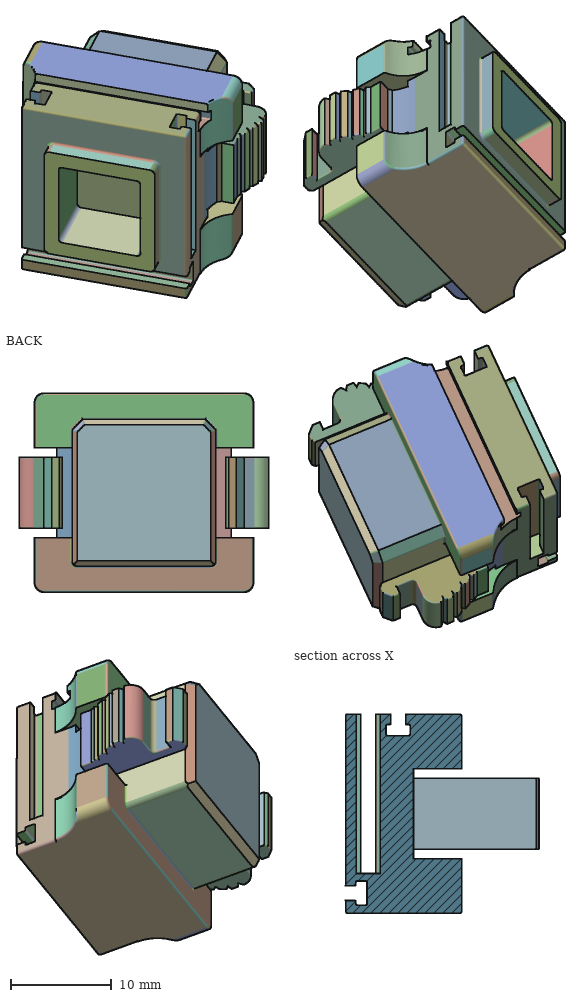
import cadquery as cq
import math

HEIGHT = 19.8
LENGTH = 20.75
WIDTH = 24.8
HALF_HEIGHT = HEIGHT / 2
HALF_WIDTH = WIDTH / 2

MARGIN = 0.02

BLOCK_FRONT = 1.55
BLOCK_REAR = 5.98
BODY_REAR = 13.1
BLOCK_HALF = 8.6
FLARE_START_HALF = 8.65
FLARE_HALF = 10.89
FLARE_END = 9.55
CORNER_RADIUS = 1.0
EDGE_RADIUS = 0.22
RIM_RADIUS = 0.2

NOSE_WIDTH = 11.5
NOSE_HEIGHT = 12.35
NOSE_CORNER = 0.55
NOSE_BASE_FILLET = 0.22
BORE_WIDTH = 8.48
BORE_HEIGHT = 9.13
BORE_CORNER = 0.4
BORE_DEPTH = 6.32

PLUG_HALF_WIDTH = 7.15
PLUG_HALF_HEIGHT = 7.3
PLUG_TOP_CHAMFER = 1.05
PLUG_TOP_BLEND = 0.25
PLUG_BOTTOM_RADIUS = 0.5
PLUG_TIP_LENGTH = 0.87
PLUG_TIP_INSET = 0.52
PLUG_BASE_FILLET = 0.17

SLOT_MOUTH = 1.46
SLOT_WIDTH = 2.38
SLOT_LIP = 1.05
SLOT_DEPTH = 2.13
SLOT_ROUND = 0.12
TOP_SLOT_Y = 6.77
SIDE_SLOT_Y = 3.8
SIDE_SLOT_BOTTOM = 3.97 - HALF_HEIGHT
FRONT_SLOT_Z = 2.0 - HALF_HEIGHT

WINDOW_HALF_HEIGHT = 4.46
WINDOW_FLOOR = 8.3
LATCH_HALF_HEIGHT = 3.55
LATCH_INNER = 8.13
LATCH_ROOT_Y = 7.46
LATCH_FOOT = (9.18, 9.85)
LATCH_EDGE = 0.12
HOOK_NECK = 9.1
HOOK_OUTER = 9.95
HOOK_BARB_Y = 19.2
HOOK_CHAMFER = 0.77
TIP_CHAMFER = 0.27
HOOK_NECK_FILLET = 0.42
GRIP_TOP = 17.24
GRIP_CROWN_RADIUS = 1.41

GRIP_STEPS = [
    (12.0, 15.48),
    (HALF_WIDTH, 15.2),
    (HALF_WIDTH, 14.48),
    (11.9, 14.33),
    (12.18, 14.0),
    (11.83, 13.4),
    (11.38, 13.22),
    (11.63, 12.9),
    (11.33, 12.28),
    (10.94, 12.1),
    (11.1, 11.73),
    (10.85, 11.28),
]
GRIP_FOOT_X = 9.6
GRIP_FOOT_Y = 10.1


def arc_middle(start, end, center):
    """Point halfway along the shorter arc from start to end about center."""
    radius = math.dist(start, center)
    across = (start[0] + end[0]) / 2 - center[0]
    along = (start[1] + end[1]) / 2 - center[1]
    scale = radius / math.hypot(across, along)
    return (center[0] + across * scale, center[1] + along * scale)


def tangent_arc_radius(side, rise):
    """Radius of an arc that leaves along Y and drifts sideways over the given rise."""
    return (side**2 + rise**2) / (2 * side)


def box(x_range, y_range, z_range):
    """Box between the given limits."""
    size = [high - low for low, high in (x_range, y_range, z_range)]
    corner = (x_range[0], y_range[0], z_range[0])
    return cq.Workplane("XY").box(*size, centered=False).translate(corner)


def rear_facing_plane(y):
    """Workplane at y facing +Y, with local x along -X and local y along Z."""
    return cq.Workplane(cq.Plane((0, y, 0), (-1, 0, 0), (0, 1, 0)))


def make_block():
    """Narrow front block with rounded front and lengthwise edges."""
    length = BLOCK_REAR - BLOCK_FRONT
    block = rear_facing_plane(BLOCK_FRONT).rect(2 * BLOCK_HALF, HEIGHT).extrude(length)
    return block.edges("|Y or <Y").fillet(EDGE_RADIUS)


def make_flare():
    """Rear block whose sides sweep out from the front block along concave arcs."""
    radius = tangent_arc_radius(FLARE_HALF - FLARE_START_HALF, FLARE_END - BLOCK_REAR)
    start = (FLARE_START_HALF, BLOCK_REAR)
    end = (FLARE_HALF, FLARE_END)
    middle = arc_middle(start, end, (FLARE_START_HALF + radius, BLOCK_REAR))
    flare = (
        cq.Workplane("XY", origin=(0, 0, -HALF_HEIGHT))
        .moveTo(-start[0], start[1])
        .lineTo(*start)
        .threePointArc(middle, end)
        .lineTo(FLARE_HALF, BODY_REAR)
        .lineTo(-FLARE_HALF, BODY_REAR)
        .lineTo(-end[0], end[1])
        .threePointArc((-middle[0], middle[1]), (-start[0], start[1]))
        .close()
        .extrude(HEIGHT)
    )
    flare = flare.edges("|Y").fillet(CORNER_RADIUS)
    flare = flare.faces(">Y").edges().fillet(RIM_RADIUS)
    swept_rims = cq.selectors.BoxSelector(
        (-HALF_WIDTH, BLOCK_REAR + MARGIN, -HEIGHT), (HALF_WIDTH, FLARE_END + MARGIN, HEIGHT)
    )
    return flare.edges(swept_rims).fillet(RIM_RADIUS)


def plug_section(y, inset):
    """Plug outline at the given Y, moved inwards all round, with chamfered top corners."""
    half_width = PLUG_HALF_WIDTH - inset
    half_height = PLUG_HALF_HEIGHT - inset
    chamfer = PLUG_TOP_CHAMFER - inset * (2 - math.sqrt(2))
    return cq.Wire.makePolygon(
        [
            cq.Vector(-half_width, y, -half_height),
            cq.Vector(half_width, y, -half_height),
            cq.Vector(half_width, y, half_height - chamfer),
            cq.Vector(half_width - chamfer, y, half_height),
            cq.Vector(-half_width + chamfer, y, half_height),
            cq.Vector(-half_width, y, half_height - chamfer),
        ],
        close=True,
    )


def make_plug():
    """Rear plug: chamfered top corners, rounded bottom corners, tapered tip."""
    tip_sections = [
        plug_section(LENGTH - PLUG_TIP_LENGTH, 0),
        plug_section(LENGTH, PLUG_TIP_INSET),
    ]
    shank_length = LENGTH - PLUG_TIP_LENGTH - BODY_REAR
    shank = cq.Solid.extrudeLinear(plug_section(BODY_REAR, 0), [], cq.Vector(0, shank_length, 0))
    tip = cq.Solid.makeLoft(tip_sections, True)
    plug = cq.Workplane(shank).union(cq.Workplane(tip))
    upper_part = cq.selectors.BoxSelector(
        (-HALF_WIDTH, BODY_REAR, PLUG_HALF_HEIGHT / 2), (HALF_WIDTH, LENGTH, PLUG_HALF_HEIGHT)
    )
    plug = plug.edges("not #Y").edges(upper_part).fillet(PLUG_TOP_BLEND)
    return plug.edges("(not #Y) and <Z").fillet(PLUG_BOTTOM_RADIUS)


def make_nose():
    """Rounded rectangular nose in front of the block."""
    nose = rear_facing_plane(0).rect(NOSE_WIDTH, NOSE_HEIGHT).extrude(BLOCK_FRONT)
    return nose.edges("|Y").fillet(NOSE_CORNER)


def make_bore():
    """Blind bore entering the nose."""
    bore = rear_facing_plane(0).rect(BORE_WIDTH, BORE_HEIGHT).extrude(BORE_DEPTH)
    return bore.edges("|Y").fillet(BORE_CORNER)


def joint_edges(y):
    """Selector for the edges where the nose or plug meets the body face at y."""
    return cq.selectors.BoxSelector(
        (-PLUG_HALF_WIDTH - MARGIN, y - MARGIN, -PLUG_HALF_HEIGHT - MARGIN),
        (PLUG_HALF_WIDTH + MARGIN, y + MARGIN, PLUG_HALF_HEIGHT + MARGIN),
    )


def make_body():
    """Block, flare, plug and nose joined, with fillets at both joints and the bore cut."""
    body = make_block().union(make_flare()).union(make_plug()).union(make_nose())
    body = body.edges(joint_edges(BODY_REAR)).fillet(PLUG_BASE_FILLET)
    body = body.edges(joint_edges(BLOCK_FRONT)).fillet(NOSE_BASE_FILLET)
    return body.cut(make_bore())


def t_slot(origin, along, inward, length):
    """T-slot cutter that opens at origin, deepens inward and runs along for length."""
    slot = (
        cq.Workplane(cq.Plane(origin, inward, along))
        .moveTo(-SLOT_LIP, -SLOT_MOUTH / 2)
        .lineTo(SLOT_LIP, -SLOT_MOUTH / 2)
        .lineTo(SLOT_LIP, -SLOT_WIDTH / 2)
        .lineTo(SLOT_DEPTH, -SLOT_WIDTH / 2)
        .lineTo(SLOT_DEPTH, SLOT_WIDTH / 2)
        .lineTo(SLOT_LIP, SLOT_WIDTH / 2)
        .lineTo(SLOT_LIP, SLOT_MOUTH / 2)
        .lineTo(-SLOT_LIP, SLOT_MOUTH / 2)
        .close()
        .extrude(length)
    )
    return slot.edges(cq.selectors.ParallelDirSelector(cq.Vector(*along))).fillet(SLOT_ROUND)


def cut_slots(body):
    """Slots across the top and the front face, and one down each side of the block."""
    body = body.cut(t_slot((-HALF_WIDTH, TOP_SLOT_Y, HALF_HEIGHT), (1, 0, 0), (0, 0, -1), WIDTH))
    body = body.cut(t_slot((-HALF_WIDTH, BLOCK_FRONT, FRONT_SLOT_Z), (1, 0, 0), (0, 1, 0), WIDTH))
    for side in (-1, 1):
        bottom = (side * BLOCK_HALF, SIDE_SLOT_Y, SIDE_SLOT_BOTTOM)
        body = body.cut(t_slot(bottom, (0, 0, 1), (-side, 0, 0), HEIGHT))
    return body


def cut_windows(body):
    """Clear the flare beside each latch down to the plug sides."""
    heights = (-WINDOW_HALF_HEIGHT, WINDOW_HALF_HEIGHT)
    deep = box((PLUG_HALF_WIDTH, HALF_WIDTH), (WINDOW_FLOOR, LENGTH), heights)
    shallow = box((BLOCK_HALF, HALF_WIDTH), (BLOCK_REAR - MARGIN, WINDOW_FLOOR), heights)
    window = deep.union(shallow)
    return body.cut(window).cut(window.mirror("YZ"))


def latch_root_arc():
    """Start, middle and end of the concave arc from the block side to the latch foot."""
    radius = tangent_arc_radius(LATCH_FOOT[0] - BLOCK_HALF, LATCH_FOOT[1] - LATCH_ROOT_Y)
    start = (BLOCK_HALF, LATCH_ROOT_Y)
    center = (BLOCK_HALF + radius, LATCH_ROOT_Y)
    return start, arc_middle(start, LATCH_FOOT, center), LATCH_FOOT


def make_latch():
    """Latch arm on the +X side: hooked tip, ribbed grip and curved root."""
    root_start, root_middle, root_end = latch_root_arc()
    crown_center = (HALF_WIDTH - GRIP_CROWN_RADIUS, GRIP_TOP - GRIP_CROWN_RADIUS)
    crown_start = (crown_center[0], GRIP_TOP)
    crown_end = (HALF_WIDTH, crown_center[1])
    latch = (
        cq.Workplane("XY", origin=(0, 0, -LATCH_HALF_HEIGHT))
        .moveTo(*root_start)
        .threePointArc(root_middle, root_end)
        .lineTo(GRIP_FOOT_X, GRIP_FOOT_Y)
        .lineTo(GRIP_STEPS[-1][0], GRIP_FOOT_Y)
    )
    for step in reversed(GRIP_STEPS):
        latch = latch.lineTo(*step)
    latch = (
        latch.lineTo(*crown_end)
        .threePointArc(arc_middle(crown_end, crown_start, crown_center), crown_start)
        .lineTo(HOOK_NECK, GRIP_TOP)
        .lineTo(HOOK_NECK, HOOK_BARB_Y)
        .lineTo(HOOK_OUTER, HOOK_BARB_Y)
        .lineTo(HOOK_OUTER, LENGTH - HOOK_CHAMFER)
        .lineTo(HOOK_OUTER - HOOK_CHAMFER, LENGTH)
        .lineTo(LATCH_INNER + TIP_CHAMFER, LENGTH)
        .lineTo(LATCH_INNER, LENGTH - TIP_CHAMFER)
        .lineTo(LATCH_INNER, LATCH_ROOT_Y)
        .close()
        .extrude(2 * LATCH_HALF_HEIGHT)
    )
    neck = cq.selectors.BoxSelector(
        (HOOK_NECK - MARGIN, GRIP_TOP - MARGIN, -HEIGHT), (HOOK_NECK + MARGIN, GRIP_TOP + MARGIN, HEIGHT)
    )
    latch = latch.edges(neck).fillet(HOOK_NECK_FILLET)
    outer_rims = cq.selectors.BoxSelector(
        (LATCH_INNER + MARGIN, GRIP_FOOT_Y + MARGIN, -HEIGHT), (WIDTH, LENGTH + MARGIN, HEIGHT)
    )
    return latch.faces("|Z").edges(outer_rims).fillet(LATCH_EDGE)


def make_web():
    """Start of the latch root arc, carried over the full window height as far as its floor."""
    root_start, root_middle, root_end = latch_root_arc()
    web = (
        cq.Workplane("XY", origin=(0, 0, -WINDOW_HALF_HEIGHT))
        .moveTo(*root_start)
        .threePointArc(root_middle, root_end)
        .lineTo(LATCH_INNER, root_end[1])
        .lineTo(LATCH_INNER, root_start[1])
        .close()
        .extrude(2 * WINDOW_HALF_HEIGHT)
    )
    behind_floor = box((0, WIDTH), (WINDOW_FLOOR, LENGTH), (-HEIGHT, HEIGHT))
    return web.cut(behind_floor)


body = cut_windows(cut_slots(make_body()))
latch = make_latch().union(make_web())
result = body.union(latch).union(latch.mirror("YZ"))